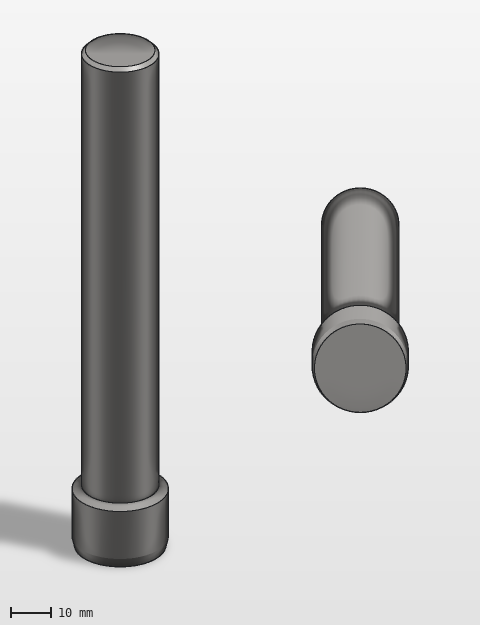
import cadquery as cq
import math

total_length = 140.0

head_diameter = 24.0
foot_diameter = 22.8
lead_in_height = 2.5
straight_side_top = 16.0
shoulder_angle = 25.0

rod_diameter = 19.3
rod_tip_chamfer = 1.0

head_radius = head_diameter / 2
foot_radius = foot_diameter / 2
rod_radius = rod_diameter / 2
shoulder_rise = (head_radius - rod_radius) * math.tan(math.radians(shoulder_angle))
head_height = straight_side_top + shoulder_rise
rod_length = total_length - head_height


def make_head():
    """Turned head: tapered foot, straight side, conical shoulder up to a flat seat for the rod."""
    return (
        cq.Workplane("YZ")
        .lineTo(-foot_radius, 0)
        .lineTo(-head_radius, lead_in_height)
        .lineTo(-head_radius, straight_side_top)
        .lineTo(-rod_radius, head_height)
        .lineTo(0, head_height)
        .close()
        .revolve(360, (0, 0, 0), (0, 1, 0))
    )


def make_rod():
    """Plain round rod from the head's seat to the top, chamfered at its free end."""
    return (
        cq.Workplane("XY")
        .workplane(offset=head_height)
        .circle(rod_radius)
        .extrude(rod_length)
        .faces(">Z")
        .chamfer(rod_tip_chamfer)
    )


head = make_head()
rod = make_rod()

result = cq.Compound.makeCompound([head.val(), rod.val()])